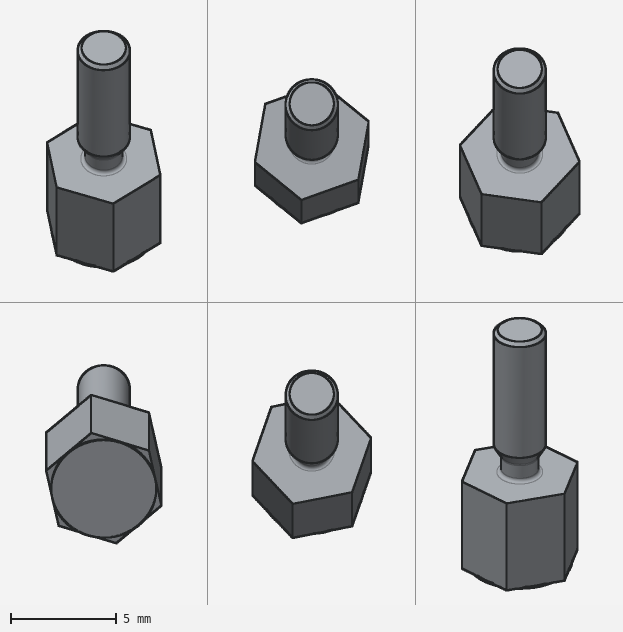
import cadquery as cq
import math

across_flats = 5.0
across_corners = across_flats / math.cos(math.pi / 6)
body_height = 5.0
washer_face_height = 0.1

total_height = 13.0
stud_radius = 2.5 / 2
tip_chamfer = 0.2
neck_radius = 1.8 / 2
neck_root_fillet = 0.2
neck_blend_radius = 0.2
neck_height = 0.91
runout_angle = math.radians(30)


def make_hex_body():
    washer_face = cq.Workplane("XY").circle(across_flats / 2).extrude(washer_face_height)
    hexagon = (
        cq.Workplane("XY")
        .workplane(offset=washer_face_height)
        .polygon(6, across_corners)
        .extrude(body_height - washer_face_height)
    )
    return washer_face.union(hexagon)


def make_stud():
    """Revolve the stud profile: root fillet, neck, blended cone, shank and tip chamfer."""
    neck_top = body_height + neck_height
    blend_out = neck_blend_radius * (1 - math.cos(runout_angle))
    blend_up = neck_blend_radius * math.sin(runout_angle)
    blend_middle = (
        neck_radius + neck_blend_radius * (1 - math.cos(runout_angle / 2)),
        neck_top + neck_blend_radius * math.sin(runout_angle / 2),
    )
    cone_start_radius = neck_radius + blend_out
    cone_start = neck_top + blend_up
    cone_top = cone_start + (stud_radius - cone_start_radius) / math.tan(runout_angle)
    root_inset = neck_root_fillet * (1 - math.sqrt(0.5))
    profile = (
        cq.Workplane("XZ")
        .moveTo(0, body_height)
        .lineTo(neck_radius + neck_root_fillet, body_height)
        .threePointArc(
            (neck_radius + root_inset, body_height + root_inset),
            (neck_radius, body_height + neck_root_fillet),
        )
        .lineTo(neck_radius, neck_top)
        .threePointArc(blend_middle, (cone_start_radius, cone_start))
        .lineTo(stud_radius, cone_top)
        .lineTo(stud_radius, total_height - tip_chamfer)
        .lineTo(stud_radius - tip_chamfer, total_height)
        .lineTo(0, total_height)
        .close()
    )
    return profile.revolve(360, (0, 0, 0), (0, 1, 0))


result = make_hex_body().union(make_stud())